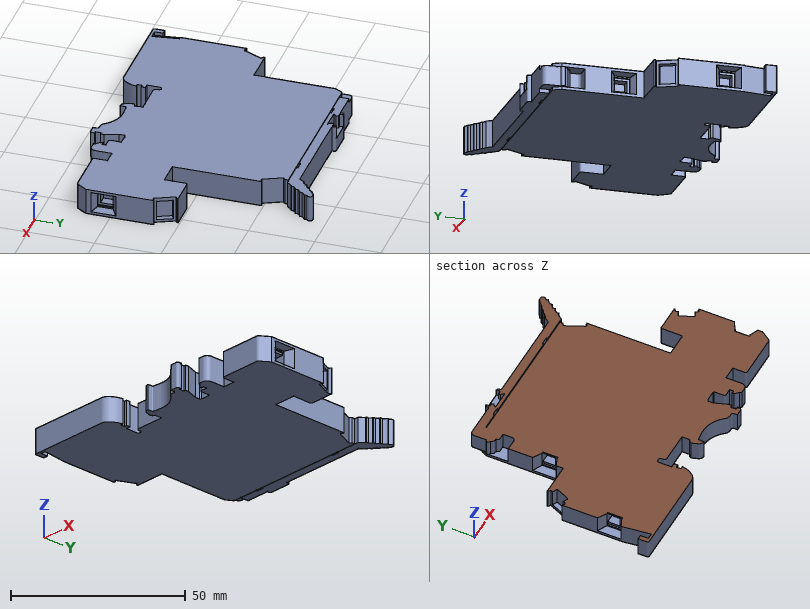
import cadquery as cq

LENGTH = 90.3
HEIGHT = 71.6
WIDTH = 8.1
MID_Z = WIDTH / 2

LEFT_X = 2.3
LOWER_TOP_Y = 35.3
SHOULDER_X = 3.2
TOWER_LEFT_X = 15.6
TOWER_RIGHT_X = 70.9
TOWER_TOP_Y = 62.3
TOWER_SHOULDER_Y = 61.6
STEP_Y = 28.35
STEP_END_X = 78.4
RAIL_Y = 10.3
RIGHT_FOOT_Y = 5.15
HOOK_TOP_Y = 3.4
HOOK_RADIUS = 0.5

LEVER_BOTTOM_Y = 62.4
LEVER_TOP_Y = 65.3
LEVER_START_X = 19.8
LEVER_BLOCK_X = 16.0
BLOCK_WIDTH = 5.9
TAIL_END_Y = 56.7
CAVITY_BACK_X = 20.1

MOUTH_BOTTOM_Z = 0.86
MOUTH_TOP_Z = 7.0
MOUTH_WIDTH = MOUTH_TOP_Z - MOUTH_BOTTOM_Z


def shoulder(corner_x, corner_y, inward):
    """Points of a lipped slope from the top lip down to the side lip.

    `inward` is +1 when the housing lies on the +X side of the corner, else -1.
    """
    offsets = [
        (SHOULDER_X, 0.0),
        (SHOULDER_X, -0.4),
        (3.9, -0.9),
        (1.3, -6.7),
        (0.8, -6.8),
        (0.6, -6.4),
        (0.0, -6.4),
    ]
    return [(corner_x + inward * dx, corner_y + dy) for dx, dy in offsets]


def housing():
    """Full-width housing outline, drawn counter-clockwise from the hook."""
    left_shoulder = shoulder(LEFT_X, LOWER_TOP_Y, 1)
    right_shoulder = shoulder(LENGTH, LOWER_TOP_Y, -1)
    tower_shoulder = shoulder(TOWER_RIGHT_X, TOWER_SHOULDER_Y, -1)
    outline = (
        cq.Workplane("XY")
        .moveTo(HOOK_RADIUS, 0)
        .lineTo(28.0, 0)
        .threePointArc((29.2, 0.32), (30.1, 1.1))
        .threePointArc((31.15, 2.9), (31.7, 5.0))
        .lineTo(30.8, 5.0).lineTo(30.8, 6.4).lineTo(31.7, 6.4)
        .lineTo(31.7, 7.7).lineTo(30.25, 7.7).lineTo(30.25, 11.7)
        .threePointArc((31.0, 12.4), (31.7, 11.7))
        .lineTo(31.7, 11.1)
        .threePointArc((32.0, 10.6), (32.6, RAIL_Y))
        .lineTo(42.2, RAIL_Y)
        .lineTo(42.2, 7.9).lineTo(41.45, 7.5).lineTo(41.1, 6.9).lineTo(41.8, 4.7)
        .threePointArc((42.4, 4.1), (43.4, 3.9))
        .lineTo(43.4, 5.3)
        .threePointArc((43.5, 5.6), (43.8, 5.7))
        .lineTo(46.6, 6.0)
        .threePointArc((51.3, 5.0), (54.45, 2.3))
        .threePointArc((55.1, 1.9), (55.9, 1.7))
        .lineTo(56.4, 1.7)
        .threePointArc((57.0, 1.5), (57.2, 1.0))
        .lineTo(57.2, 0).lineTo(59.4, 0)
        .threePointArc((59.8, 0.2), (60.0, 0.5))
        .lineTo(60.0, 1.4).lineTo(59.2, 1.4).lineTo(59.2, 3.2).lineTo(60.0, 3.2)
        .lineTo(60.0, 4.2).lineTo(58.5, 8.4).lineTo(58.5, 10.0)
        .lineTo(58.9, RAIL_Y).lineTo(62.1, RAIL_Y).lineTo(62.4, 10.1)
        .lineTo(62.4, 7.1)
        .threePointArc((62.6, 6.7), (63.0, 6.5))
        .lineTo(65.2, 6.5)
        .lineTo(65.2, 5.3).lineTo(64.3, 5.3).lineTo(64.3, 4.6)
        .lineTo(65.5, 3.5).lineTo(65.7, 2.9).lineTo(67.4, 2.9)
        .threePointArc((68.6, 3.3), (69.2, 4.5))
        .lineTo(69.2, 9.6).lineTo(73.3, 9.6)
        .lineTo(73.3, RIGHT_FOOT_Y + 0.6)
        .threePointArc((73.5, RIGHT_FOOT_Y + 0.2), (74.0, RIGHT_FOOT_Y))
        .lineTo(87.6, RIGHT_FOOT_Y)
        .threePointArc((87.95, 5.2), (88.3, 5.5))
        .lineTo(LENGTH, 8.5)
        .polyline(right_shoulder[::-1], includeCurrent=True)
        .lineTo(STEP_END_X + 0.5, LOWER_TOP_Y)
        .threePointArc((STEP_END_X + 0.2, LOWER_TOP_Y - 0.2), (STEP_END_X, LOWER_TOP_Y - 0.5))
        .lineTo(STEP_END_X, STEP_Y).lineTo(TOWER_RIGHT_X, STEP_Y)
        .polyline(tower_shoulder[::-1], includeCurrent=True)
        .lineTo(TOWER_RIGHT_X - SHOULDER_X, TOWER_TOP_Y)
        .lineTo(17.1, TOWER_TOP_Y).lineTo(16.5, 61.6).lineTo(TOWER_LEFT_X, 59.9)
        .lineTo(TOWER_LEFT_X, LOWER_TOP_Y)
        .polyline(left_shoulder, includeCurrent=True)
        .lineTo(LEFT_X, 9.5).lineTo(3.3, 0.9).lineTo(1.6, 0.9)
        .lineTo(1.6, HOOK_TOP_Y).lineTo(0, HOOK_TOP_Y).lineTo(0, HOOK_RADIUS)
        .radiusArc((HOOK_RADIUS, 0), -HOOK_RADIUS)
        .close()
    )
    return outline.extrude(WIDTH)


BUTTON_LEFT_X = 27.9
BUTTON_RIGHT_X = 36.0
BUTTON_TOP_Y = 66.5
NOTCH_DEPTH = 4.1
GRIP_TEETH = 4


def lever_bar():
    """Bar of the lever ending in the slanted grip with serrations on both sides."""
    lower_first = (70.8, 64.1)
    lower_pitch = (1.2, 1.6)
    lower_rise = 0.8
    upper_first = (66.9, 66.3)
    upper_pitch = (1.58, 1.35)
    upper_rise = 0.6
    tread = 0.4

    bar = cq.Workplane("XY").moveTo(LEVER_START_X, LEVER_BOTTOM_Y).lineTo(69.0, LEVER_BOTTOM_Y)
    for i in range(GRIP_TEETH - 1):
        x = lower_first[0] + i * lower_pitch[0]
        y = lower_first[1] + i * lower_pitch[1]
        bar = bar.lineTo(x - tread, y).lineTo(x, y).lineTo(x, y + lower_rise)
    bar = (
        bar.lineTo(73.9, 68.9).lineTo(74.4, 69.3).lineTo(74.05, 69.7).lineTo(74.6, 70.3)
        .threePointArc((74.6, 71.25), (74.05, HEIGHT))
        .lineTo(73.05, HEIGHT)
    )
    for i in reversed(range(GRIP_TEETH)):
        x = upper_first[0] + i * upper_pitch[0]
        y = upper_first[1] + i * upper_pitch[1]
        bar = bar.lineTo(x + 2 * tread, y + upper_rise).lineTo(x + tread, y + upper_rise).lineTo(x, y)
    return bar.lineTo(66.2, LEVER_TOP_Y).lineTo(LEVER_START_X, LEVER_TOP_Y).close().extrude(WIDTH)


def button():
    """Slide button standing on the bar, with rounded upper corners."""
    return (
        cq.Workplane("XY")
        .moveTo(BUTTON_LEFT_X, LEVER_TOP_Y - 0.45)
        .lineTo(BUTTON_RIGHT_X, LEVER_TOP_Y - 0.45)
        .lineTo(BUTTON_RIGHT_X, BUTTON_TOP_Y)
        .lineTo(BUTTON_LEFT_X, BUTTON_TOP_Y)
        .close()
        .extrude(WIDTH)
        .edges("|Z and >Y")
        .fillet(0.5)
    )


def button_notch():
    """Dovetail notch cut into the button and bar from the +Z side."""
    half_widths = [(2.9, 63.7), (2.1, 64.6), (2.3, LEVER_TOP_Y), (3.25, LEVER_TOP_Y), (3.25, HEIGHT)]
    middle_x = (BUTTON_LEFT_X + BUTTON_RIGHT_X) / 2
    right_side = [(middle_x + half, y) for half, y in half_widths]
    left_side = [(middle_x - half, y) for half, y in reversed(half_widths)]
    return (
        cq.Workplane("XY", origin=(0, 0, WIDTH - NOTCH_DEPTH))
        .polyline(right_side + left_side)
        .close()
        .extrude(NOTCH_DEPTH)
    )


def bar_relief(center_x):
    """Shallow relief across the underside of the bar."""
    return (
        cq.Workplane("XY")
        .center(center_x, LEVER_BOTTOM_Y)
        .rect(2.4, 0.9)
        .extrude(WIDTH)
    )


def hinge_block():
    """Narrow block that carries the bar and ends below in a beaded, scalloped tail."""
    root_x = CAVITY_BACK_X + 0.5
    return (
        cq.Workplane("XY", origin=(0, 0, MOUTH_TOP_Z - BLOCK_WIDTH))
        .moveTo(root_x, LEVER_TOP_Y)
        .lineTo(LEVER_BLOCK_X + 1.2, LEVER_TOP_Y)
        .threePointArc((LEVER_BLOCK_X + 0.4, LEVER_TOP_Y - 0.4), (LEVER_BLOCK_X, LEVER_TOP_Y - 1.2))
        .lineTo(LEVER_BLOCK_X, 60.05)
        .threePointArc((15.35, 59.3), (LEVER_BLOCK_X, 58.7))
        .threePointArc((16.5, 57.9), (17.6, 57.7))
        .threePointArc((17.7, 57.0), (18.15, TAIL_END_Y))
        .lineTo(root_x, TAIL_END_Y)
        .close()
        .extrude(BLOCK_WIDTH)
    )


def hinge_cavity():
    """Corner opening of the upper housing that receives the hinge block."""
    bottom_y = 52.9
    corner_radius = 1.0
    return (
        cq.Workplane("XY", origin=(0, 0, MOUTH_BOTTOM_Z))
        .moveTo(LEFT_X, bottom_y)
        .lineTo(CAVITY_BACK_X - corner_radius, bottom_y)
        .radiusArc((CAVITY_BACK_X, bottom_y + corner_radius), -corner_radius)
        .lineTo(CAVITY_BACK_X, LEVER_TOP_Y)
        .lineTo(LEFT_X, LEVER_TOP_Y)
        .close()
        .extrude(MOUTH_WIDTH)
    )


UPPER_ENTRY_Y = 45.0
LOWER_ENTRY_Y = 17.5
FUNNEL_DEPTH = 2.7
SOCKET_DEPTH = 0.5
BORE_DEPTH = 2.7


def box_between(x_start, depth, y_low, y_high, z_width):
    """Box going `depth` in +X from x_start, centred across the width."""
    return (
        cq.Workplane("XY")
        .box(depth, y_high - y_low, z_width, centered=(False, False, True))
        .translate((x_start, y_low, MID_Z))
    )


def wire_entry(face_x, y_top):
    """Tapered funnel, stepped socket and clamp bore entering a -X face."""
    mouth_height = 7.5
    mouth_width = 6.4
    throat_top = y_top - 1.67
    throat_low = throat_top - 4.7
    throat_width = 5.6
    socket_width = 4.8
    bore_height = 4.0
    bore_width = 3.3

    mouth_mid = y_top - mouth_height / 2
    throat_mid = (throat_top + throat_low) / 2
    funnel = (
        cq.Workplane("YZ", origin=(face_x, mouth_mid, MID_Z))
        .rect(mouth_height, mouth_width)
        .workplane(offset=FUNNEL_DEPTH)
        .center(throat_mid - mouth_mid, 0)
        .rect(throat_top - throat_low, throat_width)
        .loft()
    )
    socket_x = face_x + FUNNEL_DEPTH
    socket = box_between(socket_x, SOCKET_DEPTH, throat_low, throat_top, socket_width)
    bore = box_between(socket_x, SOCKET_DEPTH + BORE_DEPTH, throat_top - bore_height, throat_top, bore_width)
    return funnel.union(socket).union(bore)


def screwdriver_mouth():
    """Rectangular pocket sunk square to the left shoulder slope."""
    upper = shoulder(LEFT_X, LOWER_TOP_Y, 1)[2]
    lower = shoulder(LEFT_X, LOWER_TOP_Y, 1)[3]
    slope = cq.Vector(upper[0] - lower[0], upper[1] - lower[1], 0).normalized()
    outward = cq.Vector(-slope.y, slope.x, 0)
    mouth_length = 4.8
    mouth_depth = 1.7
    center = cq.Vector((upper[0] + lower[0]) / 2, (upper[1] + lower[1]) / 2, MOUTH_BOTTOM_Z + MOUTH_WIDTH / 2)
    plane = cq.Plane(origin=center.toTuple(), xDir=slope.toTuple(), normal=outward.toTuple())
    return cq.Workplane(plane).rect(mouth_length, MOUTH_WIDTH).extrude(-mouth_depth)


def release_strip():
    """Shallow step along the slanted wall behind the hook, on the +Z face."""
    step_depth = 0.1
    return (
        cq.Workplane("XY", origin=(0, 0, WIDTH - step_depth))
        .polyline([(1.8, 8.8), (3.0, 8.8), (4.15, 0.9), (3.3, 0.9)])
        .close()
        .extrude(step_depth)
    )


def mirrored(cutter, mirror_x):
    """Copy of a cutter mirrored about the plane X = mirror_x."""
    return cutter.mirror("YZ", (mirror_x, 0, 0))


lever = lever_bar().union(button()).cut(button_notch())
for relief_x in (27.4, 59.1):
    lever = lever.cut(bar_relief(relief_x))

result = housing().cut(hinge_cavity()).union(hinge_block()).union(lever)
result = result.cut(release_strip())
result = result.cut(wire_entry(TOWER_LEFT_X, UPPER_ENTRY_Y))

lower_mid_x = (LEFT_X + LENGTH) / 2
for opening in (wire_entry(LEFT_X, LOWER_ENTRY_Y), screwdriver_mouth()):
    result = result.cut(opening).cut(mirrored(opening, lower_mid_x))